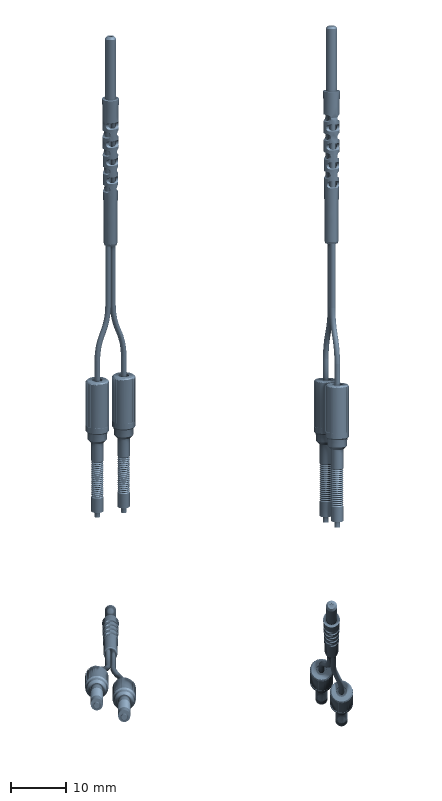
import cadquery as cq
import math

total_height = 92.0
rod_diameter = 2.0
rod_chamfer = 0.4
rod_insertion = 3.7
rod_end_recess_diameter = 0.7
rod_end_recess_depth = 0.3

boot_top = 80.0
boot_length = 28.1
boot_bottom = boot_top - boot_length
boot_top_diameter = 3.0
boot_bottom_diameter = 2.5
boot_chamfer_height = 0.4
boot_chamfer_width = 0.1
boot_bore_diameter = rod_diameter

notch_count = 8
notch_height = 1.3
notch_floor_distance = 0.6
first_notch_z = 75.2
notch_step = 1.75

cable_diameter = 1.0
cable_top = boot_top - rod_insertion
spread_top = 40.1
spread_bottom = 30.2
connector_spacing = 5.4

connector_diameter = 4.2
connector_top = 26.3
top_chamfer = 0.3
entry_diameter = 1.9
entry_depth = 0.5
grip_bottom = 17.7
rim_bottom = 16.65
collar_chamfer = 0.3
collar_top_diameter = 3.7
collar_bottom_diameter = 3.5
collar_bottom = 15.0
collar_cone_diameter = 2.5
collar_cone_bottom = 14.4
stem_diameter = 2.2
stem_bottom = 1.1

groove_depth = 0.1
side_groove_angle = 52.0
fine_groove_angle = 4.5
fine_groove_pitch_angle = 9.0
outermost_fine_groove = 6
plain_rib_position = 4

thread_top = 10.9
thread_groove_count = 19
thread_pitch = 0.4
thread_depth = 0.14


def upright_cylinder(diameter, bottom, top):
    return cq.Workplane("XY").workplane(offset=bottom).circle(diameter / 2).extrude(top - bottom)


def make_rod():
    rod = upright_cylinder(rod_diameter, cable_top, total_height)
    rod = rod.faces(">Z").chamfer(rod_chamfer)
    recess_floor = total_height - rod_end_recess_depth
    return rod.cut(upright_cylinder(rod_end_recess_diameter, recess_floor, total_height))


def boot_notch(z, angle):
    """Pair of opposite notches, cut inwards from +X and -X and then turned about Z."""
    reach = boot_top_diameter
    floor_centre = notch_floor_distance + notch_height / 2
    notch = (
        cq.Workplane("XZ")
        .moveTo(reach, z - notch_height / 2)
        .lineTo(floor_centre, z - notch_height / 2)
        .threePointArc((notch_floor_distance, z), (floor_centre, z + notch_height / 2))
        .lineTo(reach, z + notch_height / 2)
        .close()
        .extrude(reach, both=True)
    )
    opposite = notch.rotate((0, 0, 0), (0, 0, 1), 180)
    return notch.union(opposite).rotate((0, 0, 0), (0, 0, 1), angle)


def make_boot():
    boot = (
        cq.Workplane("XY")
        .workplane(offset=boot_bottom)
        .circle(boot_bottom_diameter / 2)
        .workplane(offset=boot_length)
        .circle(boot_top_diameter / 2)
        .loft()
        .faces("<Z")
        .chamfer(boot_chamfer_height, boot_chamfer_width)
    )
    boot = boot.cut(upright_cylinder(boot_bore_diameter, boot_bottom, boot_top))
    for i in range(notch_count):
        boot = boot.cut(boot_notch(first_notch_z - i * notch_step, 90 * (i % 2)))
    return boot


def make_cable(side):
    """Cable on the +Y (side = 1) or -Y (side = -1) half, bent by two equal tangent arcs."""
    inner_y = side * cable_diameter / 2
    outer_y = side * connector_spacing / 2
    middle = ((inner_y + outer_y) / 2, (spread_top + spread_bottom) / 2)
    path = (
        cq.Workplane("YZ")
        .moveTo(inner_y, cable_top)
        .lineTo(inner_y, spread_top)
        .tangentArcPoint(middle, relative=False)
        .tangentArcPoint((outer_y, spread_bottom), relative=False)
        .lineTo(outer_y, 0)
    )
    return (
        cq.Workplane("XY")
        .workplane(offset=cable_top)
        .center(0, inner_y)
        .circle(cable_diameter / 2)
        .sweep(path)
    )


def connector_blank():
    """Revolved connector with the cable hole and a wider entry at its top."""
    bore = cable_diameter / 2
    entry = entry_diameter / 2
    outer = connector_diameter / 2
    outline = [
        (bore, connector_top - entry_depth),
        (entry, connector_top - entry_depth),
        (entry, connector_top),
        (outer - top_chamfer, connector_top),
        (outer, connector_top - top_chamfer),
        (outer, rim_bottom),
        (collar_top_diameter / 2, rim_bottom - collar_chamfer),
        (collar_bottom_diameter / 2, collar_bottom),
        (collar_cone_diameter / 2, collar_cone_bottom),
        (stem_diameter / 2, collar_cone_bottom),
        (stem_diameter / 2, stem_bottom),
        (bore, stem_bottom),
    ]
    return cq.Workplane("XZ").polyline(outline).close().revolve(360, (0, 0, 0), (0, 1, 0))


def polar_point(radius, angle):
    turn = math.radians(angle)
    return (radius * math.cos(turn), radius * math.sin(turn))


def grip_groove(direction, width_angle):
    """Shallow lengthwise groove: a sector of the grip's outer skin centred on `direction`."""
    root = connector_diameter / 2 - groove_depth
    beyond = connector_diameter
    start = direction - width_angle / 2
    end = direction + width_angle / 2
    return (
        cq.Workplane("XY")
        .workplane(offset=grip_bottom)
        .moveTo(*polar_point(root, start))
        .threePointArc(polar_point(root, direction), polar_point(root, end))
        .lineTo(*polar_point(beyond, end))
        .lineTo(*polar_point(beyond, start))
        .close()
        .extrude(connector_top - grip_bottom)
    )


def thread_groove(z):
    """V-shaped ring groove around the stem, centred at height z."""
    crest = stem_diameter / 2
    return (
        cq.Workplane("XZ")
        .polyline([
            (crest, z - thread_pitch / 2),
            (crest - thread_depth, z),
            (crest, z + thread_pitch / 2),
        ])
        .close()
        .revolve(360, (0, 0, 0), (0, 1, 0))
    )


def make_connector():
    connector = connector_blank()
    for side_direction in (0, 180):
        connector = connector.cut(grip_groove(side_direction, side_groove_angle))
    for panel_direction in (90, 270):
        for position in range(-outermost_fine_groove, outermost_fine_groove + 1):
            if abs(position) != plain_rib_position:
                direction = panel_direction + position * fine_groove_pitch_angle
                connector = connector.cut(grip_groove(direction, fine_groove_angle))
    for i in range(thread_groove_count):
        connector = connector.cut(thread_groove(thread_top - (i + 0.5) * thread_pitch))
    return connector


sides = (1, -1)
rod = make_rod()
boot = make_boot()
cables = [make_cable(side) for side in sides]
connector = make_connector()
connectors = [connector.translate((0, side * connector_spacing / 2, 0)) for side in sides]

result = cq.Compound.makeCompound(
    [rod.val(), boot.val()]
    + [cable.val() for cable in cables]
    + [placed.val() for placed in connectors]
)